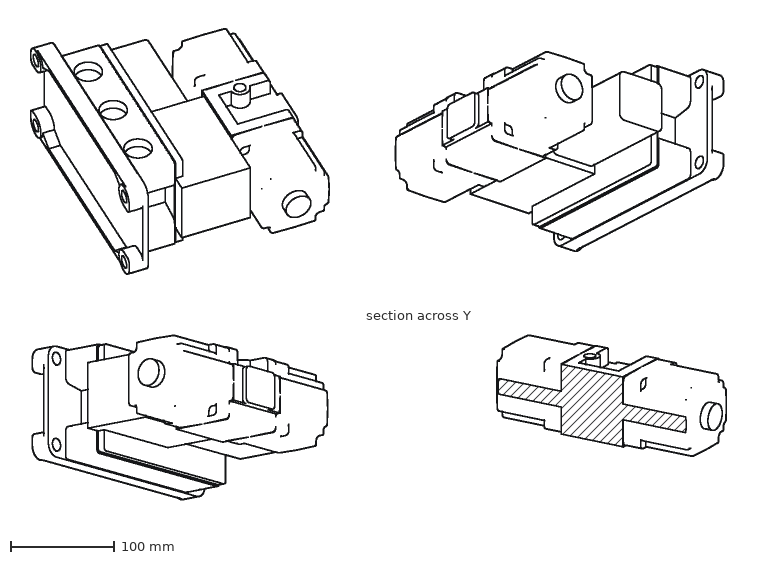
import cadquery as cq
import math


plate_length = 237.7
plate_height = 110.5
plate_back = 20.3
lug_radius = 12.5
lug_hole_diameter = 12.5
lug_corner_radius = 4.7
rim_front = 1.8
rim_width = 4.0
rim_flare = 14.5
recess_floor = 14.2

base_length = 185.5
base_half_height = 54.3
base_back = 59.8
base_corner_radius = 3.2
cover_inset = 1.0
seam_chamfer = 1.0
cover_back = 68.5
port_diameter = 27.5
port_pitch = 60.0
port_depth = 10.0
port_y = 35.0
pocket_depth = 23.7
pocket_floor_half = 17.7
pocket_mouth_half = 22.0
pocket_lip_radius = 6.9

housing_left = 10.5
housing_back = 120.7
housing_half_height = 25.8
housing_corner_radius = 6.0
post_left = 114.4
post_right = 226.3
post_front = 60.5
post_half_height = 32.7

valve_x = 144.7
valve_half_length = 110.1
flange_outer = 55.0
body_half_length = 35.3
valve_front = 134.0
valve_shoulder = 200.0
valve_back = 204.5
valve_half_height = 35.3
pad_half_height = 18.2
pad_edge_radius = 2.6
crown = 0.8
ridge_half_width = 1.5
notch_size = 9.2
notch_radius = 4.2
notch_edge_radius = 1.3
flange_corner_radius = 4.2
cap_end_radius = 3.7
body_front = 133.0
button_radius = 13.2
button_length = 8.7
button_y = 167.5

slot_half_width = 22.7
slot_front = 145.5
vent_x = 120.5
vent_y = 168.5
vent_diameter = 11.5
vent_boss_radius = 10.0
vent_depth = 21.0
tab_half_width = 21.5
tab_corner_radius = 4.5
tab_back = 210.0


def box(x_span, y_span, half_height):
    """Box between two X and two Y positions, centred on Z = 0."""
    size = (x_span[1] - x_span[0], y_span[1] - y_span[0], 2 * half_height)
    centre = (sum(x_span) / 2, sum(y_span) / 2, 0)
    return cq.Workplane("XY").box(*size).translate(centre)


def along_y(y_start, y_end):
    """Workplane at y_start (local axes X and Z) and the extrude distance that reaches y_end."""
    return cq.Workplane("XZ", origin=(0, y_start, 0)), -(y_end - y_start)


def make_lug(centre_x, centre_z, x_out, z_out):
    """Round lug with a squared quarter; x_out and z_out (+-1) point to the nearest plate corner."""
    r = lug_radius
    square = r - lug_corner_radius
    bulge = lug_corner_radius * math.sqrt(0.5)
    plane, depth = along_y(0, recess_floor)
    return (
        plane.center(centre_x, centre_z)
        .moveTo(0, z_out * r)
        .threePointArc((x_out * r * math.sqrt(0.5), z_out * r * math.sqrt(0.5)), (x_out * r, 0))
        .lineTo(x_out * r, -z_out * square)
        .threePointArc((x_out * (square + bulge), -z_out * (square + bulge)), (x_out * square, -z_out * r))
        .lineTo(0, -z_out * r)
        .threePointArc((-x_out * r, 0), (0, z_out * r))
        .close()
        .extrude(depth)
    )


def make_plate():
    half = plate_height / 2
    mid_x = plate_length / 2
    lug_x = mid_x - lug_radius
    lug_z = half - lug_radius
    rim_end_x = lug_x - lug_radius
    flat_x = rim_end_x - rim_flare
    flat_z = half - rim_width

    plate = box((0, plate_length), (recess_floor, plate_back), half).edges("|Y").fillet(lug_radius)

    for z_side in (-1, 1):
        plane, depth = along_y(rim_front, recess_floor)
        outline = [
            (-lug_x, half), (lug_x, half), (lug_x, lug_z), (rim_end_x, lug_z),
            (flat_x, flat_z), (-flat_x, flat_z), (-rim_end_x, lug_z), (-lug_x, lug_z),
        ]
        rim = plane.center(mid_x, 0).polyline([(x, z_side * z) for x, z in outline])
        plate = plate.union(rim.close().extrude(depth))
        for x_side in (-1, 1):
            plate = plate.union(make_lug(mid_x + x_side * lug_x, z_side * lug_z, x_side, z_side))

    plane, depth = along_y(0, plate_back)
    holes = (
        plane.center(mid_x, 0)
        .rect(2 * lug_x, 2 * lug_z, forConstruction=True)
        .vertices()
        .circle(lug_hole_diameter / 2)
        .extrude(depth)
    )
    return plate.cut(holes)


def make_base():
    mid_x = plate_length / 2
    left = mid_x - base_length / 2
    right = mid_x + base_length / 2
    base = box((left, right), (plate_back, base_back), base_half_height)
    base = base.edges("|Y").fillet(base_corner_radius)

    for side in (-1, 1):
        end_x = mid_x + side * base_length / 2
        floor_x = end_x - side * pocket_depth
        plane, depth = along_y(plate_back, base_back)
        pocket = plane.polyline([
            (end_x, -pocket_mouth_half), (floor_x, -pocket_floor_half),
            (floor_x, pocket_floor_half), (end_x, pocket_mouth_half),
        ]).close().extrude(depth)
        base = base.cut(pocket)
        for z_side in (-1, 1):
            mouth = cq.selectors.NearestToPointSelector(
                (end_x, (plate_back + base_back) / 2, z_side * pocket_mouth_half)
            )
            base = base.edges("|Y").edges(mouth).fillet(pocket_lip_radius)

    cover = box(
        (left + cover_inset / 2, right - cover_inset / 2),
        (base_back, cover_back),
        base_half_height - cover_inset,
    )
    cover = cover.edges("|Y").fillet(base_corner_radius).faces("<Y").chamfer(seam_chamfer)

    ports = (
        cq.Workplane("XY", origin=(mid_x, port_y, base_half_height - port_depth))
        .rarray(port_pitch, 2.6, 3, 1)
        .circle(port_diameter / 2)
        .extrude(port_depth)
    )
    return base.cut(ports).union(cover)


def make_post():
    housing = box((housing_left, post_left), (cover_back, housing_back), housing_half_height)
    housing = housing.edges("|X").fillet(housing_corner_radius)
    post = box((post_left, post_right), (post_front, body_front), post_half_height)
    return housing.union(post)


def round_edges_at(solid, points, radius):
    """Fillet, one by one, the edges along X that pass through the given (Y, Z) points."""
    for y, z in points:
        middle_x = solid.val().Center().x
        nearest = cq.selectors.NearestToPointSelector((middle_x, y, z))
        solid = solid.edges("|X").edges(nearest).fillet(radius)
    return solid


def valve_prism(x_start, x_end):
    """Slightly crowned valve section with a raised pad on its +Y side, run along X."""
    mid_y = (valve_front + valve_shoulder) / 2
    ridge = ridge_half_width
    upper = [
        (valve_front - crown, ridge),
        (valve_front, valve_half_height),
        (mid_y - ridge, valve_half_height + crown),
        (mid_y + ridge, valve_half_height + crown),
        (valve_shoulder, valve_half_height),
        (valve_shoulder, pad_half_height),
        (valve_back, pad_half_height),
        (valve_back + crown, ridge),
    ]
    lower = [(y, -z) for y, z in reversed(upper)]
    plane = cq.Workplane("YZ", origin=(x_start, 0, 0))
    prism = plane.polyline(upper + lower).close().extrude(x_end - x_start)
    pad_edges = [(y, side * pad_half_height) for y in (valve_shoulder, valve_back) for side in (-1, 1)]
    return round_edges_at(prism, pad_edges, pad_edge_radius)


def make_cap():
    """Left end cap: notched corners, rounded end and a round button."""
    left = valve_x - valve_half_length
    right = valve_x - flange_outer
    cap = valve_prism(left, right)
    for y, inward in ((valve_front, 1), (valve_shoulder, -1)):
        for side in (-1, 1):
            z = side * valve_half_height
            notch = (
                cq.Workplane("YZ", origin=(left, y, z))
                .rect(2 * notch_size, 2 * notch_size)
                .extrude(right - left)
                .edges("|X")
                .fillet(notch_radius)
            )
            rims = [(y + inward * notch_size, z), (y, z - side * notch_size)]
            cap = round_edges_at(cap.cut(notch), rims, notch_edge_radius)
    cap = cap.faces("<X").edges().fillet(cap_end_radius)

    button = (
        cq.Workplane("YZ", origin=(left - button_length, button_y, 0))
        .circle(button_radius)
        .extrude(button_length)
    )
    return cap.union(button)


def make_valve():
    back_corners = [(valve_shoulder, side * valve_half_height) for side in (-1, 1)]
    front_corners = [(valve_front, side * valve_half_height) for side in (-1, 1)]
    body_left = valve_x - body_half_length
    body_right = valve_x + body_half_length

    flange = valve_prism(valve_x - flange_outer, body_left)
    flange = round_edges_at(flange, front_corners + back_corners, flange_corner_radius)
    left_end = make_cap().union(flange, clean=False)
    right_end = left_end.mirror("YZ", (valve_x, 0, 0))

    top = valve_half_height + crown
    body = box((body_left, body_right), (body_front, valve_shoulder), top)
    body = body.edges("|X and >Y").fillet(flange_corner_radius)
    body_pad = box((body_left, body_right), (slot_front, valve_back + crown), pad_half_height)
    body = body.union(body_pad)

    slot = (
        cq.Workplane("XY", origin=(valve_x, 0, pad_half_height))
        .moveTo(-slot_half_width, slot_front)
        .lineTo(slot_half_width, slot_front)
        .lineTo(slot_half_width, tab_back)
        .lineTo(-slot_half_width, tab_back)
        .close()
        .extrude(top)
    )
    vent_boss = (
        cq.Workplane("XY", origin=(vent_x, vent_y, pad_half_height))
        .circle(vent_boss_radius)
        .extrude(top)
    )
    vent = (
        cq.Workplane("XY", origin=(vent_x, vent_y, top - vent_depth))
        .circle(vent_diameter / 2)
        .extrude(vent_depth)
    )
    body = body.cut(slot.cut(vent_boss)).cut(vent)

    tab = box(
        (valve_x - tab_half_width, valve_x + tab_half_width),
        (valve_shoulder, tab_back),
        pad_half_height,
    )
    body = body.union(tab.edges("|Y").fillet(tab_corner_radius))

    return body.union(left_end, clean=False).union(right_end, clean=False)


result = make_plate().union(make_base()).union(make_post()).union(make_valve(), clean=False)